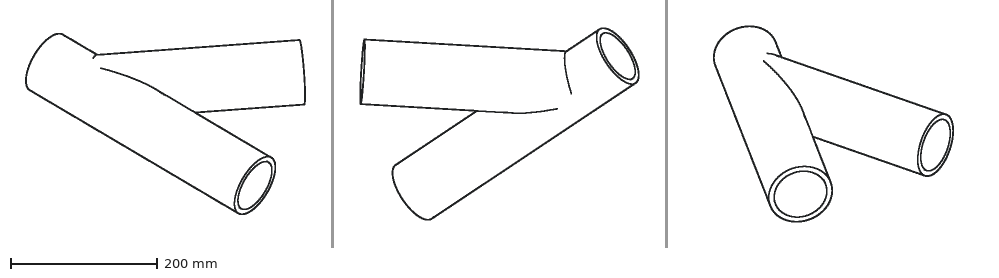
import cadquery as cq
import math

OUTER_DIAMETER = 88.9
BORE_DIAMETER = 73.66
RUN_LENGTH = 368.3
BRANCH_OFFSET = 76.2
BRANCH_LENGTH = 292.1
BRANCH_ANGLE = 45.0


def run_cylinder(diameter):
    """Cylinder along X; the origin is where the run and branch axes meet."""
    start = cq.Vector(-BRANCH_OFFSET, 0, 0)
    return cq.Workplane(cq.Solid.makeCylinder(diameter / 2, RUN_LENGTH, start, cq.Vector(1, 0, 0)))


def branch_cylinder(diameter):
    """Cylinder leaving the run axis at the branch angle."""
    angle = math.radians(BRANCH_ANGLE)
    direction = cq.Vector(math.cos(angle), math.sin(angle), 0)
    return cq.Workplane(cq.Solid.makeCylinder(diameter / 2, BRANCH_LENGTH, cq.Vector(0, 0, 0), direction))


def lateral_tee():
    """Two equal pipes joined in a Y, with their bores open to each other."""
    body = run_cylinder(OUTER_DIAMETER).union(branch_cylinder(OUTER_DIAMETER))
    return body.cut(run_cylinder(BORE_DIAMETER)).cut(branch_cylinder(BORE_DIAMETER))


result = lateral_tee()